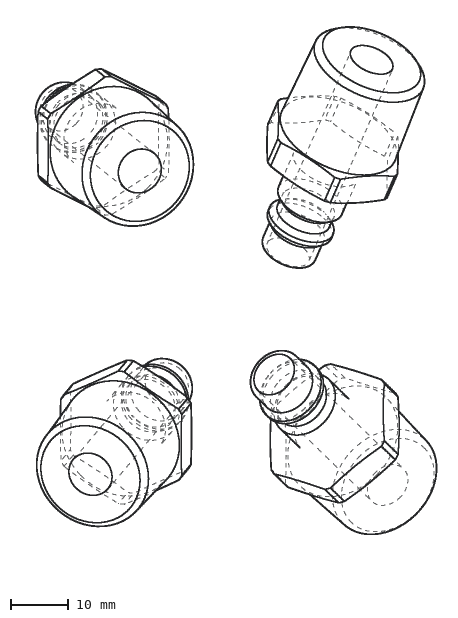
import cadquery as cq
import math

total_length = 43.0
collar_start = 4.95
collar_crest_start = 6.15
collar_crest_end = 7.05
groove_start = 8.05
groove_end = 10.35
shank_start = 11.52
hex_start = 19.95
hex_end = 25.97

bore_diameter = 7.85
tip_diameter = 9.9
groove_diameter = 9.75
shank_diameter = 12.0
spigot_root_diameter = 21.4
spigot_end_diameter = 20.4

across_flats = 22.0
corner_diameter = 24.8
hex_chamfer_length = 0.4

tip_round = 0.8
shank_fillet = 0.77
spigot_chamfer = 1.15

tip_radius = tip_diameter / 2
groove_radius = groove_diameter / 2
shank_radius = shank_diameter / 2
spigot_root_radius = spigot_root_diameter / 2
spigot_end_radius = spigot_end_diameter / 2
part_start = -total_length / 2


def revolve_about_axis(profile):
    """Turn a closed (X, radius) profile about the X axis."""
    return profile.close().revolve(360, (0, 0, 0), (1, 0, 0))


def arc_midpoint(center_x, center_radius, radius, x_side, radial_side):
    """Middle of a quarter round lying on the given sides of its center."""
    offset = radius * math.sqrt(0.5)
    return (center_x + x_side * offset, center_radius + radial_side * offset)


def turned_body():
    """Plug with locking collar and groove, followed by the tapered spigot."""
    tip_arc = arc_midpoint(tip_round, tip_radius - tip_round, tip_round, -1, 1)
    fillet_start = hex_start - shank_fillet
    fillet_top = shank_radius + shank_fillet
    fillet_arc = arc_midpoint(fillet_start, fillet_top, shank_fillet, 1, -1)
    chamfer_start = total_length - spigot_chamfer
    profile = (
        cq.Workplane("XY")
        .moveTo(0, 0)
        .lineTo(0, tip_radius - tip_round)
        .threePointArc(tip_arc, (tip_round, tip_radius))
        .lineTo(collar_start, tip_radius)
        .lineTo(collar_crest_start, shank_radius)
        .lineTo(collar_crest_end, shank_radius)
        .lineTo(groove_start, groove_radius)
        .lineTo(groove_end, groove_radius)
        .lineTo(shank_start, shank_radius)
        .lineTo(fillet_start, shank_radius)
        .threePointArc(fillet_arc, (hex_start, fillet_top))
        .lineTo(hex_end, fillet_top)
        .lineTo(hex_end, spigot_root_radius)
        .lineTo(chamfer_start, spigot_end_radius)
        .lineTo(total_length, spigot_end_radius - spigot_chamfer)
        .lineTo(total_length, 0)
    )
    return revolve_about_axis(profile)


def hexagon():
    """Hexagon with corners up and down, turned and chamfered at both ends."""
    prism = (
        cq.Workplane("YZ", origin=(hex_start, 0, 0))
        .polygon(6, across_flats / math.cos(math.pi / 6))
        .extrude(hex_end - hex_start)
        .rotate((0, 0, 0), (1, 0, 0), 30)
    )
    face_radius = across_flats / 2
    corner_radius = corner_diameter / 2
    envelope = (
        cq.Workplane("XY")
        .moveTo(hex_start, 0)
        .lineTo(hex_start, face_radius)
        .lineTo(hex_start + hex_chamfer_length, corner_radius)
        .lineTo(hex_end - hex_chamfer_length, corner_radius)
        .lineTo(hex_end, face_radius)
        .lineTo(hex_end, 0)
    )
    return prism.intersect(revolve_about_axis(envelope))


def through_bore():
    return cq.Workplane("YZ").circle(bore_diameter / 2).extrude(total_length)


result = (
    turned_body()
    .union(hexagon())
    .cut(through_bore())
    .translate((part_start, 0, 0))
)